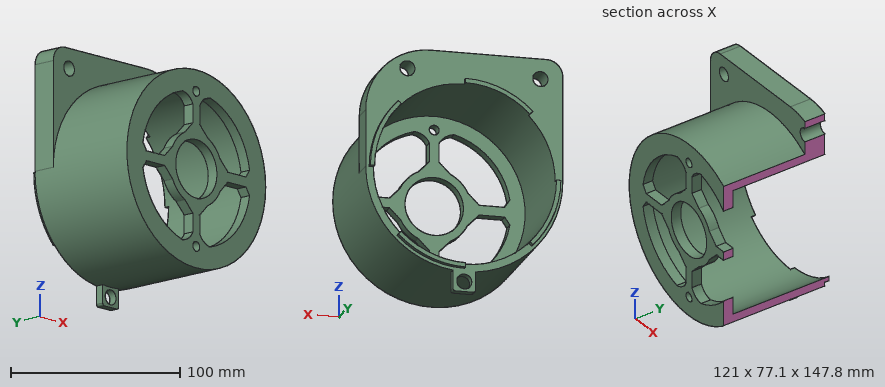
import cadquery as cq
import math


body_radius = 60.5
body_length = 74.1
bore_radius = 55.7
end_wall = 7.0

lip_radius = 58.4
lip_height = 3.0
lip_segments = 4
lip_sweep = 180 / lip_segments

flange_thickness = 14.8
flange_top = 75.1
small_corner_radius = 10.0
large_corner_radius = 40.0
mount_hole_radius = 4.6
flange_hole_left = -46.7
flange_hole_right = 34.9
flange_hole_height = 62.7

tab_width = 13.9
tab_thickness = 5.0
tab_end = 72.7
tab_corner_radius = 1.5
tab_hole_distance = 66.5

shaft_hole_radius = 17.9
hub_radius = 22.9
hub_square_reach = 30.6
spoke_width = 6.0
window_radius = 47.0
window_start = 9.5
window_end = 75.0
level_spoke_end = 43.2
upright_spoke_end = 39.0
upright_corner_radius = 11.0
pin_hole_radius = 3.0
pin_hole_distance = 47.3

wall_front = -body_length
wall_back = wall_front + end_wall


def section(y):
    """Sketch plane across the axis at y, with local x = X and local y = Z; it extrudes toward -Y."""
    return cq.Workplane("XZ", origin=(0, y, 0))


def cylinder(radius, y_back, y_front, x=0, z=0):
    """Cylinder along Y between two Y positions."""
    return section(y_back).center(x, z).circle(radius).extrude(y_back - y_front)


def make_flange():
    """Flange above the axis, with one small and one large top corner."""
    plate = (
        section(0)
        .center(0, flange_top / 2)
        .rect(2 * body_radius, flange_top)
        .extrude(flange_thickness)
    )
    plate = plate.edges("|Y and >Z and <X").fillet(small_corner_radius)
    return plate.edges("|Y and >Z and >X").fillet(large_corner_radius)


def make_tab():
    """Tab hanging below the body, flush with the back of the flange."""
    tab = (
        section(0)
        .center(0, -tab_end / 2)
        .rect(tab_width, tab_end)
        .extrude(tab_thickness)
    )
    return tab.edges("|Y and <Z").fillet(tab_corner_radius)


def on_circle(radius, degrees):
    """Point on a circle about the axis, measured from +X toward +Z."""
    angle = math.radians(degrees)
    return (radius * math.cos(angle), radius * math.sin(angle))


def make_lip_gap(start):
    """Wedge cutter that opens one gap in the lip, beginning at the given angle."""
    reach = 2 * lip_radius
    return (
        section(lip_height)
        .polyline([(0, 0), on_circle(reach, start), on_circle(reach, start + lip_sweep)])
        .close()
        .extrude(lip_height)
    )


def make_window():
    """Cutter for the window in the +X +Z quarter of the end wall."""
    inner = spoke_width / 2
    window_middle = (window_start + window_end) / 2
    sector = (
        section(wall_back)
        .moveTo(inner, inner)
        .lineTo(level_spoke_end, inner)
        .lineTo(*on_circle(window_radius, window_start))
        .threePointArc(
            on_circle(window_radius, window_middle),
            on_circle(window_radius, window_end),
        )
        .radiusArc((inner, upright_spoke_end), -upright_corner_radius)
        .close()
        .extrude(end_wall)
    )
    hub = cylinder(hub_radius, wall_back, wall_front)
    hub_square = (
        section(wall_back)
        .polyline([(0, 0), (hub_square_reach, 0), (0, hub_square_reach)])
        .close()
        .extrude(end_wall)
    )
    return sector.cut(hub).cut(hub_square)


result = cylinder(body_radius, 0, wall_front)
result = result.union(make_flange())
result = result.union(make_tab())
result = result.union(cylinder(lip_radius, lip_height, 0))

result = result.cut(cylinder(bore_radius, lip_height, wall_back))

for index in range(lip_segments):
    result = result.cut(make_lip_gap((2 * index + 1) * lip_sweep))

window = make_window()
upper_windows = window.union(window.mirror("YZ"))
result = result.cut(upper_windows).cut(upper_windows.mirror("XY"))

result = result.cut(cylinder(shaft_hole_radius, wall_back, wall_front))
for height in (-pin_hole_distance, pin_hole_distance):
    result = result.cut(cylinder(pin_hole_radius, wall_back, wall_front, z=height))

for x in (flange_hole_left, flange_hole_right):
    result = result.cut(cylinder(mount_hole_radius, 0, -flange_thickness, x, flange_hole_height))
result = result.cut(cylinder(mount_hole_radius, 0, -tab_thickness, z=-tab_hole_distance))